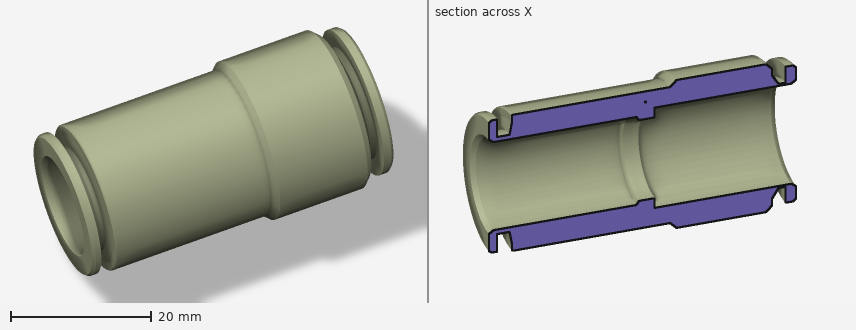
import cadquery as cq

length = 46.9

front_flange_diameter = 21.5
front_face_diameter = 20.82
front_flange_thickness = 1.3
front_neck_diameter = 15.8

rear_flange_diameter = 22.1
rear_face_diameter = 21.3
rear_flange_thickness = 1.65
rear_neck_diameter = 16.95
flange_chamfer_length = 0.45

body_diameter = 22.1
body_front_y = 3.45
body_front_chamfer = 0.2
front_cone_base_diameter = 19.4
front_cone_height = 0.35
sleeve_diameter = 24.0
sleeve_chamfer_length = 1.0
sleeve_front_y = 27.65
sleeve_rear_y = length - 3.6
rear_cone_base_diameter = 19.9
rear_cone_height = 0.95

front_bore_diameter = 14.15
rear_bore_diameter = 16.15
stop_bore_diameter = 13.0
bore_mouth_chamfer = 0.5
bore_mouth_depth = 0.75
front_socket_depth = 22.5
rear_socket_depth = 21.57
stop_taper_length = 0.38


def revolve_about_y(stations):
    """Solid of revolution from (diameter, y) stations listed front to rear."""
    first_y = stations[0][1]
    last_y = stations[-1][1]
    outline = [(0, first_y)] + [(diameter / 2, y) for diameter, y in stations] + [(0, last_y)]
    return cq.Workplane("XY").polyline(outline).close().revolve(360, (0, 0, 0), (0, 1, 0))


def make_outside():
    rear_flange_y = length - rear_flange_thickness
    return revolve_about_y([
        (front_face_diameter, 0),
        (front_flange_diameter, flange_chamfer_length),
        (front_flange_diameter, front_flange_thickness),
        (front_neck_diameter, front_flange_thickness),
        (front_neck_diameter, body_front_y - front_cone_height),
        (front_cone_base_diameter, body_front_y),
        (body_diameter - 2 * body_front_chamfer, body_front_y),
        (body_diameter, body_front_y + body_front_chamfer),
        (body_diameter, sleeve_front_y),
        (sleeve_diameter, sleeve_front_y + sleeve_chamfer_length),
        (sleeve_diameter, sleeve_rear_y - sleeve_chamfer_length),
        (body_diameter, sleeve_rear_y),
        (rear_cone_base_diameter, sleeve_rear_y),
        (rear_neck_diameter, sleeve_rear_y + rear_cone_height),
        (rear_neck_diameter, rear_flange_y),
        (rear_flange_diameter, rear_flange_y),
        (rear_flange_diameter, length - flange_chamfer_length),
        (rear_face_diameter, length),
    ])


def make_bore():
    rear_socket_y = length - rear_socket_depth
    return revolve_about_y([
        (front_bore_diameter + 2 * bore_mouth_chamfer, 0),
        (front_bore_diameter, bore_mouth_depth),
        (front_bore_diameter, front_socket_depth),
        (stop_bore_diameter, front_socket_depth + stop_taper_length),
        (stop_bore_diameter, rear_socket_y),
        (rear_bore_diameter, rear_socket_y),
        (rear_bore_diameter, length - bore_mouth_depth),
        (rear_bore_diameter + 2 * bore_mouth_chamfer, length),
    ])


result = make_outside().cut(make_bore())